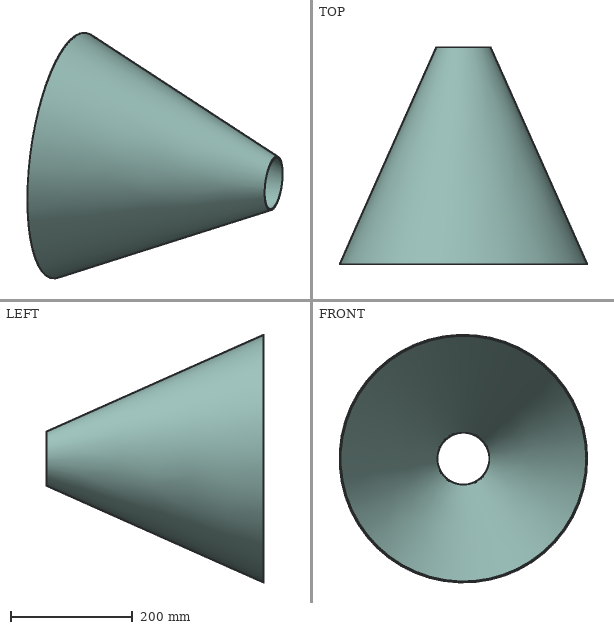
import cadquery as cq
import math

large_diameter = 406.5
small_diameter = 89.0
length = 356.0
wall = 2.0

wide_y = -length / 2
narrow_y = length / 2
large_radius = large_diameter / 2
small_radius = small_diameter / 2

half_angle = math.atan((large_radius - small_radius) / length)
radial_wall = wall / math.cos(half_angle)

wall_section = (
    cq.Workplane("XY")
    .moveTo(large_radius - radial_wall, wide_y)
    .lineTo(large_radius, wide_y)
    .lineTo(small_radius, narrow_y)
    .lineTo(small_radius - radial_wall, narrow_y)
    .close()
)

result = wall_section.revolve(360, (0, 0, 0), (0, 1, 0))